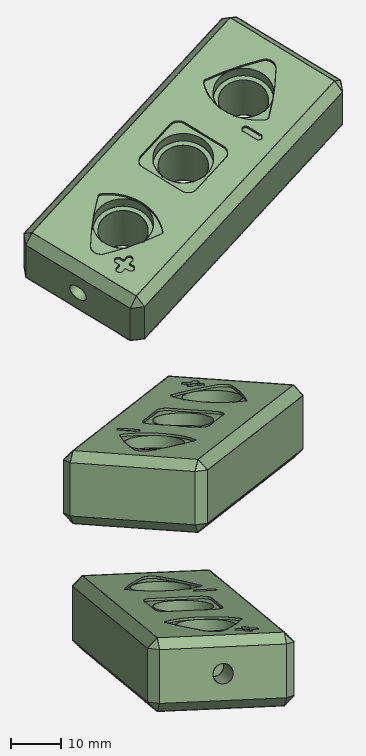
import cadquery as cq
import math

LENGTH = 70.0
WIDTH = 30.0
HEIGHT = 15.0
EDGE_CHAMFER = 2.0

HOLE_SPACING = 20.0
BORE_DIAMETER = 10.0
COUNTERBORE_DIAMETER = 12.1
COUNTERBORE_DEPTH = 3.0

RECESS_DEPTH = 0.5
SQUARE_SIDE = 13.8
SQUARE_CORNER_RADIUS = 2.0
POINTED_BASE_RADIUS = 11.0
POINTED_SIDE_RADIUS = 56.0
POINTED_TIP_RADIUS = 2.1
POINTED_CORNER_RADIUS = 0.7
SIDE_CONTACT_ANGLE = 29.4

MARK_LENGTH = 4.7
MARK_WIDTH = 1.5
MARK_DEPTH = 0.5
MINUS_CENTER = (7.5, 12.9)
PLUS_CENTER = (6.45, -28.15)

SIDE_HOLE_DIAMETER = 4.1
SLEEVE_DIAMETER = 14.0


def bevelled_bar():
    """Bar with every outer edge chamfered."""
    bar = cq.Workplane("XY").box(WIDTH, LENGTH, HEIGHT, centered=(True, True, False))
    return bar.edges().chamfer(EDGE_CHAMFER)


def counterbored_hole(y):
    """Cutter for a stepped hole through the full height."""
    bore = cq.Workplane("XY").center(0, y).circle(BORE_DIAMETER / 2).extrude(HEIGHT)
    counterbore = (
        cq.Workplane("XY", origin=(0, y, HEIGHT - COUNTERBORE_DEPTH))
        .circle(COUNTERBORE_DIAMETER / 2)
        .extrude(COUNTERBORE_DEPTH)
    )
    return bore.union(counterbore)


def square_recess():
    """Cutter for the rounded square around the middle hole."""
    return (
        cq.Workplane("XY", origin=(0, 0, HEIGHT - RECESS_DEPTH))
        .rect(SQUARE_SIDE, SQUARE_SIDE)
        .extrude(RECESS_DEPTH)
        .edges("|Z")
        .fillet(SQUARE_CORNER_RADIUS)
    )


def bowed_disc(radius, contact_angle):
    """Disc around the +Y hole whose rim touches the counterbore circle at contact_angle degrees."""
    offset = radius - COUNTERBORE_DIAMETER / 2
    angle = math.radians(contact_angle)
    return (
        cq.Workplane("XY", origin=(0, HOLE_SPACING, HEIGHT - RECESS_DEPTH))
        .center(-offset * math.cos(angle), -offset * math.sin(angle))
        .circle(radius)
        .extrude(RECESS_DEPTH)
    )


def pointed_recess():
    """Cutter for the +Y hole: three bowed sides that all touch the counterbore."""
    base = bowed_disc(POINTED_BASE_RADIUS, -90)
    right_side = bowed_disc(POINTED_SIDE_RADIUS, SIDE_CONTACT_ANGLE)
    left_side = bowed_disc(POINTED_SIDE_RADIUS, 180 - SIDE_CONTACT_ANGLE)
    outline = base.intersect(right_side).intersect(left_side)
    outline = outline.edges("|Z and >Y").fillet(POINTED_TIP_RADIUS)
    base_corners = outline.edges("|Z and (<X or >X)")
    return base_corners.fillet(POINTED_CORNER_RADIUS)


def mark_slot(center, angle):
    """Cutter for one round-ended stroke of a mark."""
    return (
        cq.Workplane("XY", origin=(*center, HEIGHT - MARK_DEPTH))
        .slot2D(MARK_LENGTH, MARK_WIDTH, angle)
        .extrude(MARK_DEPTH)
    )


def side_hole():
    """Cutter from the -Y end face to the round outside of the sleeve around the nearest bore."""
    hole = (
        cq.Workplane("XZ", origin=(0, -HOLE_SPACING, HEIGHT / 2))
        .circle(SIDE_HOLE_DIAMETER / 2)
        .extrude(LENGTH / 2 - HOLE_SPACING)
    )
    sleeve = cq.Workplane("XY").center(0, -HOLE_SPACING).circle(SLEEVE_DIAMETER / 2).extrude(HEIGHT)
    return hole.cut(sleeve)


result = bevelled_bar()

for hole_y in (-HOLE_SPACING, 0, HOLE_SPACING):
    result = result.cut(counterbored_hole(hole_y))

tip_recess = pointed_recess()
result = result.cut(square_recess())
result = result.cut(tip_recess)
result = result.cut(tip_recess.mirror("XZ"))

result = result.cut(mark_slot(MINUS_CENTER, 0))
for stroke_angle in (0, 90):
    result = result.cut(mark_slot(PLUS_CENTER, stroke_angle))

result = result.cut(side_hole())